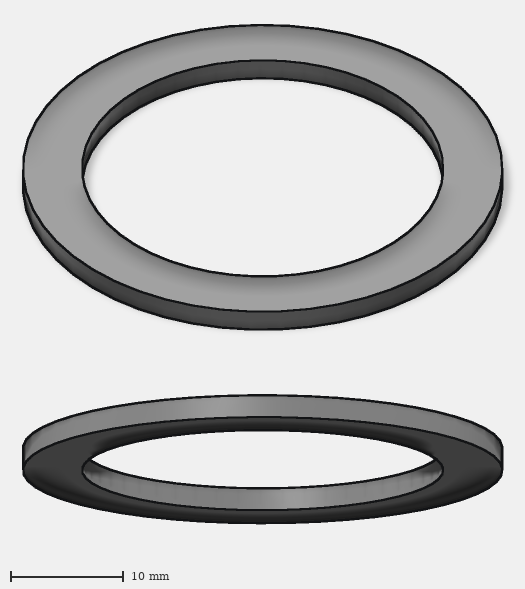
import cadquery as cq

outer_diameter = 42.5
inner_diameter = 32.0
thickness = 2.0

result = (
    cq.Workplane("XY")
    .circle(outer_diameter / 2)
    .circle(inner_diameter / 2)
    .extrude(thickness)
)